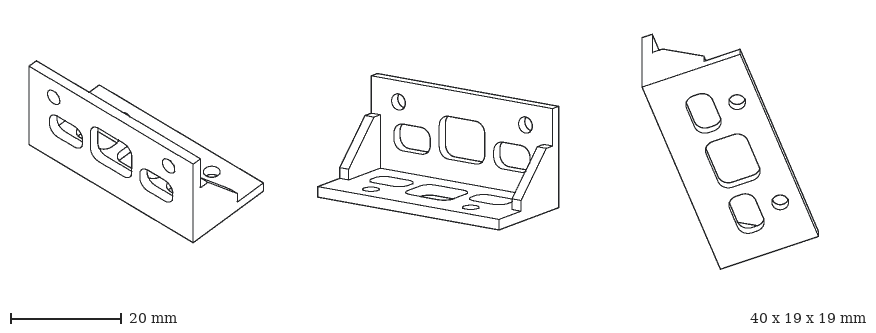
import cadquery as cq

length = 40.0
leg = 19.0
thickness = 2.0

gusset_reach = 12.0
gusset_land = 4.0

window_base = 6.0
window_radius = 2.0
center_window_width = 10.0
center_window_height = 8.0
side_window_width = 8.0
side_window_height = 5.0
side_window_offset = 11.0

hole_diameter = 3.0
hole_height = 15.0
wall_hole_offset = 14.0
floor_hole_offset = 11.0


def window_cutter(center_x, width, height):
    """Rounded window standing on the common window base line, cut along +Z."""
    return (
        cq.Workplane("XY")
        .center(center_x, window_base + height / 2)
        .rect(width, height)
        .extrude(thickness)
        .edges("|Z")
        .fillet(window_radius)
    )


def perforated_plate(hole_offset):
    """Flat leg with its bend edge on the X axis, three windows and two holes."""
    plate = cq.Workplane("XY").box(length, leg, thickness, centered=(True, False, False))
    plate = plate.cut(window_cutter(0, center_window_width, center_window_height))
    for side in (-1, 1):
        plate = plate.cut(window_cutter(side * side_window_offset, side_window_width, side_window_height))
    holes = (
        cq.Workplane("XY")
        .pushPoints([(-hole_offset, hole_height), (hole_offset, hole_height)])
        .circle(hole_diameter / 2)
        .extrude(thickness)
    )
    return plate.cut(holes)


def gusset(start_x):
    """End web with a sloped edge between two short lands, drawn in the YZ plane."""
    outline = [
        (0, 0),
        (gusset_reach, 0),
        (gusset_reach, gusset_land),
        (gusset_land, gusset_reach),
        (0, gusset_reach),
    ]
    return cq.Workplane("YZ").workplane(offset=start_x).polyline(outline).close().extrude(thickness)


floor = perforated_plate(floor_hole_offset)
wall = (
    perforated_plate(wall_hole_offset)
    .rotate((0, 0, 0), (1, 0, 0), 90)
    .translate((0, thickness, 0))
)

result = floor.union(wall)
for gusset_start in (-length / 2, length / 2 - thickness):
    result = result.union(gusset(gusset_start))